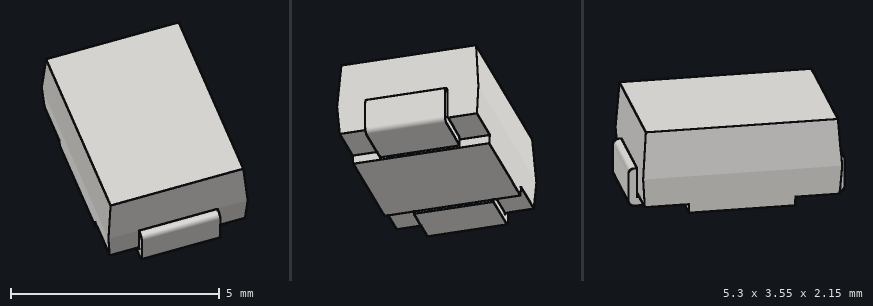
import cadquery as cq
import math

total_height = 2.15
body_length = 4.87
body_width = 3.55
belt_z = 0.965
draft_angle = 4

lead_span = 5.3
lead_width = 2.0
lead_wall = 0.215
lead_foot = 1.24
lead_radius = 0.145

pad_length = 2.61
body_floor_z = 0.23


def inset(distance):
    """Inward shift of a drafted face at a distance from the belt line."""
    return distance * math.tan(math.radians(draft_angle))


def half_body(end_z):
    """Drafted block from the belt line to end_z."""
    shrink = 2 * inset(abs(end_z - belt_z))
    return (
        cq.Workplane("XY")
        .workplane(offset=belt_z)
        .rect(body_length, body_width)
        .workplane(offset=end_z - belt_z)
        .rect(body_length - shrink, body_width - shrink)
        .loft(ruled=True)
    )


def center_pad():
    """Pad whose ends continue the draft of the lower body down to the base."""
    slab = cq.Workplane("XY").box(pad_length, body_width, body_floor_z, centered=(True, True, False))
    return half_body(0).intersect(slab)


def left_lead():
    """Upright wall with a foot folded inward, rounded on its outer corners."""
    outer_x = -lead_span / 2
    return (
        cq.Workplane("XZ")
        .moveTo(outer_x, 0)
        .lineTo(outer_x + lead_foot, 0)
        .lineTo(outer_x + lead_foot, body_floor_z)
        .lineTo(outer_x + lead_wall, body_floor_z)
        .lineTo(outer_x + lead_wall, belt_z)
        .lineTo(outer_x, belt_z)
        .close()
        .extrude(lead_width / 2, both=True)
        .edges("|Y and <X")
        .fillet(lead_radius)
    )


lead = left_lead()
body_with_leads = (
    half_body(total_height)
    .union(half_body(body_floor_z))
    .union(lead)
    .union(lead.mirror("YZ"))
)
result = body_with_leads.union(center_pad(), clean=False)